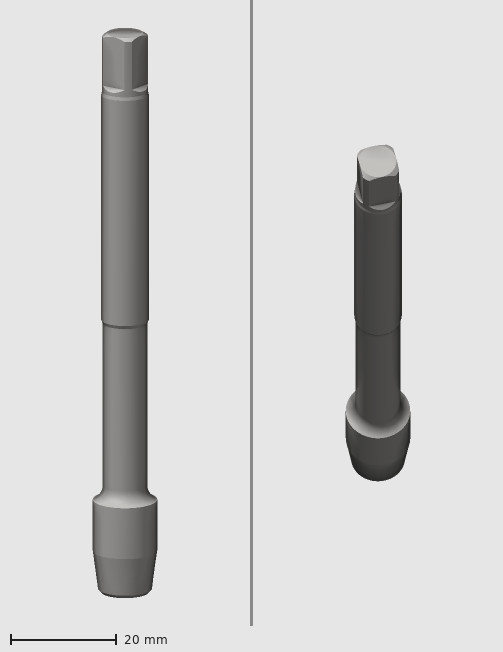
import cadquery as cq
import math

total_length = 110.0
tip_chamfer_height = 0.7
lead_height = 8.1
head_height = 18.2
neck_bottom = 20.9
neck_top = 52.9
shank_bottom = 53.6
shank_top = 97.9
drive_bottom = 98.6
flat_bottom = 100.0

tip_diameter = 9.0
lead_diameter = 10.2
head_diameter = 12.2
neck_diameter = 8.5
shank_diameter = 9.0
drive_diameter = 8.7

across_flats = 7.0
end_chamfer_height = 0.5
end_diameter = 6.9
ramp_angle = 42.0


def make_head():
    """Cutting head: chamfered tip, tapered lead and a full-diameter cylinder."""
    return (
        cq.Workplane("XZ")
        .lineTo(tip_diameter / 2, 0)
        .lineTo(lead_diameter / 2, tip_chamfer_height)
        .lineTo(head_diameter / 2, lead_height)
        .lineTo(head_diameter / 2, head_height)
        .lineTo(0, head_height)
        .close()
        .revolve(360, (0, 0), (0, 1))
    )


def make_turned_shank():
    """Round shank with a concave flare that runs tangentially into the neck."""
    flare_width = (head_diameter - neck_diameter) / 2
    flare_height = neck_bottom - head_height
    flare_radius = (flare_width**2 + flare_height**2) / (2 * flare_width)
    half_sweep = math.asin(flare_height / flare_radius) / 2
    flare_middle = (
        neck_diameter / 2 + flare_radius * (1 - math.cos(half_sweep)),
        neck_bottom - flare_radius * math.sin(half_sweep),
    )
    return (
        cq.Workplane("XZ")
        .moveTo(0, head_height)
        .lineTo(head_diameter / 2, head_height)
        .threePointArc(flare_middle, (neck_diameter / 2, neck_bottom))
        .lineTo(neck_diameter / 2, neck_top)
        .lineTo(shank_diameter / 2, shank_bottom)
        .lineTo(shank_diameter / 2, shank_top)
        .lineTo(drive_diameter / 2, drive_bottom)
        .lineTo(drive_diameter / 2, total_length - end_chamfer_height)
        .lineTo(end_diameter / 2, total_length)
        .lineTo(0, total_length)
        .close()
        .revolve(360, (0, 0), (0, 1))
    )


def make_flat_cutter():
    """Block that cuts the +X flat, with a sloping floor at its foot."""
    inner = across_flats / 2
    outer = shank_diameter
    ramp_drop = (outer - inner) * math.tan(math.radians(ramp_angle))
    return (
        cq.Workplane("XZ")
        .moveTo(inner, flat_bottom)
        .lineTo(outer, flat_bottom - ramp_drop)
        .lineTo(outer, total_length)
        .lineTo(inner, total_length)
        .close()
        .extrude(shank_diameter / 2, both=True)
    )


def make_shank():
    """Shank with four flats forming a square drive at its end."""
    shank = make_turned_shank()
    for angle in (0, 90, 180, 270):
        cutter = make_flat_cutter().rotate((0, 0, 0), (0, 0, 1), angle)
        shank = shank.cut(cutter)
    return shank


head = make_head()
shank = make_shank()

result = cq.Compound.makeCompound([head.val(), shank.val()])